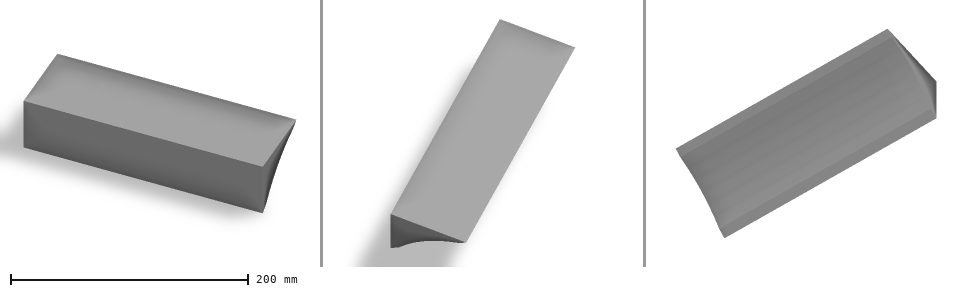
import cadquery as cq

length = 220.0
depth = 70.0
height = 50.0

lip_slope = height / depth
rear_lip_run = 6.5
front_lip_run = 7.7

hollow_distance = 32.1
hollow_drop = 20.5

front = -depth / 2
rear = depth / 2
top = height / 2
bottom = -height / 2

rear_lip_end = (rear - rear_lip_run, top - rear_lip_run * lip_slope)
hollow_middle = (front + hollow_distance, top - hollow_drop)
front_lip_end = (front + front_lip_run, bottom + front_lip_run * lip_slope)

section = (
    cq.Workplane("YZ")
    .moveTo(front, bottom)
    .lineTo(front, top)
    .lineTo(rear, top)
    .lineTo(*rear_lip_end)
    .threePointArc(hollow_middle, front_lip_end)
    .close()
)

result = section.extrude(length / 2, both=True)